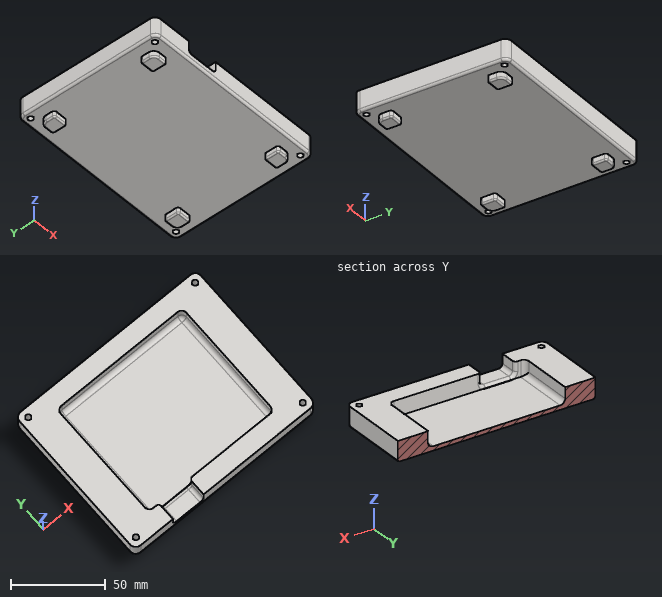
import cadquery as cq

body_length = 125.72
body_width = 97.82
body_height = 13.0
body_corner_radius = 4.0
body_bottom_fillet = 1.5

hole_diameter = 3.4
hole_inset = 5.0

cavity_length = 87.0
cavity_width = 74.82
cavity_depth = 10.0
cavity_corner_radius = 3.2
cavity_floor_fillet = 3.2

notch_width = 21.2
notch_center_x = -25.8
notch_depth = 8.3
notch_floor_fillet = 2.5
notch_mouth_fillet = 2.0

foot_size = 10.0
foot_height = 4.0
foot_inset = 8.6
foot_outer_corner_radius = 4.0
foot_inner_corner_radius = 1.5
foot_bottom_fillet = 1.0

cavity_floor_z = body_height - cavity_depth
notch_floor_z = body_height - notch_depth
body_front_y = -body_width / 2
cavity_front_y = -cavity_width / 2


def make_body():
    """Rounded block with a filleted bottom rim."""
    block = cq.Workplane("XY").box(body_length, body_width, body_height, centered=(True, True, False))
    block = block.edges("|Z").fillet(body_corner_radius)
    return block.faces("<Z").edges().fillet(body_bottom_fillet)


def make_opening():
    """Prism with the cavity outline, reaching from the bottom of the body to the top."""
    return (
        cq.Workplane("XY")
        .box(cavity_length, cavity_width, body_height, centered=(True, True, False))
        .edges("|Z")
        .fillet(cavity_corner_radius)
    )


def make_floor():
    """Cavity floor with its side and back fillets; it meets the front wall squarely."""
    front_overrun = cavity_floor_fillet + cavity_corner_radius
    hollow = (
        cq.Workplane("XY", origin=(0, -front_overrun / 2, cavity_floor_z))
        .box(cavity_length, cavity_width + front_overrun, cavity_depth, centered=(True, True, False))
        .edges("|Z and >Y")
        .fillet(cavity_corner_radius)
        .faces("<Z")
        .edges("not <Y")
        .fillet(cavity_floor_fillet)
    )
    return make_opening().cut(hollow)


def make_notch():
    """Volume of the notch, a round-bottomed channel from the front face into the cavity."""
    channel_length = cavity_front_y - body_front_y + notch_mouth_fillet
    return (
        cq.Workplane("XY", origin=(notch_center_x, body_front_y, notch_floor_z))
        .box(notch_width, channel_length, notch_depth, centered=(True, False, False))
        .edges("|Y and <Z")
        .fillet(notch_floor_fillet)
    )


def round_notch_mouth(tray):
    """Round the edge where the notch opens into the cavity."""
    margin = 0.1
    mouth_edges = cq.selectors.BoxSelector(
        (notch_center_x - notch_width / 2 - margin, cavity_front_y - margin, notch_floor_z - margin),
        (notch_center_x + notch_width / 2 + margin, cavity_front_y + margin, body_height - margin),
    )
    return tray.edges(mouth_edges).fillet(notch_mouth_fillet)


def make_foot(side_x, side_y):
    """Foot under one corner; its outermost vertical corner has the larger radius."""
    center_x = side_x * (body_length / 2 - foot_inset - foot_size / 2)
    center_y = side_y * (body_width / 2 - foot_inset - foot_size / 2)
    outer_edge = cq.selectors.NearestToPointSelector(
        (side_x * foot_size / 2, side_y * foot_size / 2, foot_height / 2)
    )
    foot = cq.Workplane("XY").box(foot_size, foot_size, foot_height, centered=(True, True, False))
    vertical_edges = cq.selectors.StringSyntaxSelector("|Z")
    foot = foot.edges(vertical_edges - outer_edge).fillet(foot_inner_corner_radius)
    foot = foot.edges(outer_edge).fillet(foot_outer_corner_radius)
    foot = foot.faces("<Z").edges().fillet(foot_bottom_fillet)
    return foot.translate((center_x, center_y, -foot_height))


def make_holes():
    """Through holes at the four corners."""
    return (
        cq.Workplane("XY")
        .rect(body_length - 2 * hole_inset, body_width - 2 * hole_inset, forConstruction=True)
        .vertices()
        .circle(hole_diameter / 2)
        .extrude(body_height)
    )


tray = make_body().cut(make_opening()).cut(make_notch())
tray = round_notch_mouth(tray).union(make_floor())
tray = tray.cut(make_holes())
for side_x in (-1, 1):
    for side_y in (-1, 1):
        tray = tray.union(make_foot(side_x, side_y))

result = tray